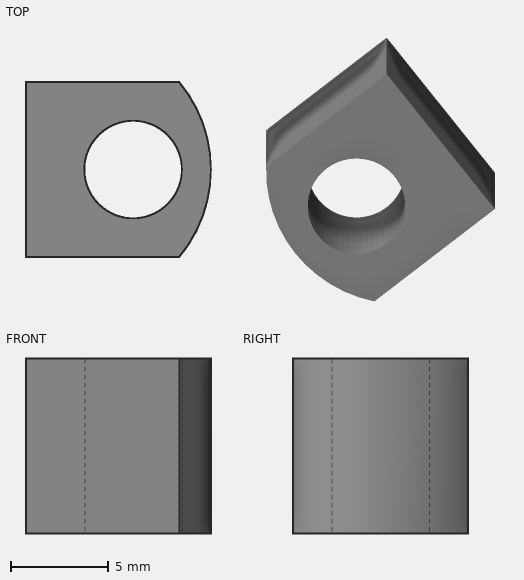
import cadquery as cq
import math

length = 9.5
width = 9.0
height = 9.0
nose_radius = 7.0
hole_diameter = 5.0
hole_from_back = 5.5

half_width = width / 2
back_x = -hole_from_back
crown_x = back_x + length
nose_rise = nose_radius - math.sqrt(nose_radius**2 - half_width**2)
shoulder_x = crown_x - nose_rise


def rounded_block():
    """Block with a flat back and a cylindrical +X face."""
    return (
        cq.Workplane("XY")
        .moveTo(back_x, -half_width)
        .lineTo(shoulder_x, -half_width)
        .threePointArc((crown_x, 0), (shoulder_x, half_width))
        .lineTo(back_x, half_width)
        .close()
        .extrude(height)
    )


def through_hole():
    """Vertical bore over the full height."""
    return cq.Workplane("XY").circle(hole_diameter / 2).extrude(height)


result = rounded_block().cut(through_hole())